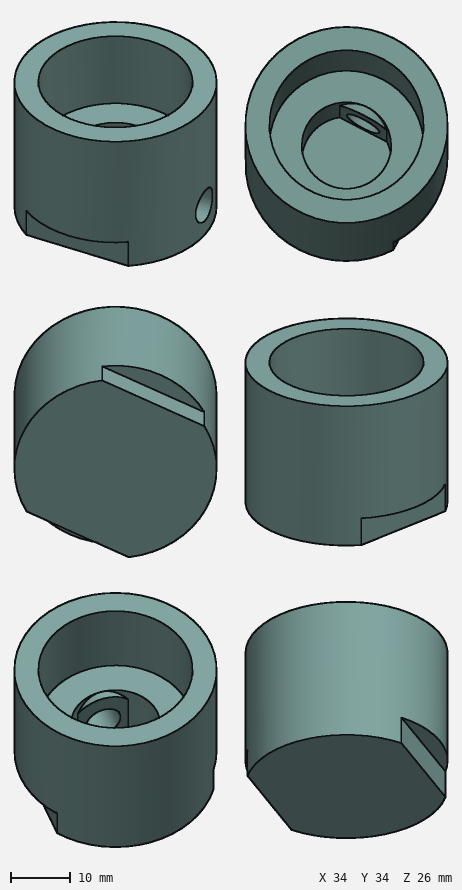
import cadquery as cq

outer_diameter = 34.0
height = 26.0
bottom_thickness = 2.0

bore_diameter = 25.9
bore_floor = 12.0
recess_diameter = 15.0

flat_spacing = 28.0
flat_height = 5.0

side_hole_diameter = 6.2
side_hole_height = 6.0
boss_diameter = 11.97
boss_face = 6.0


def upright_cylinder(diameter, bottom, top):
    """Cylinder on the Z axis between two heights."""
    return cq.Workplane("XY", origin=(0, 0, bottom)).circle(diameter / 2).extrude(top - bottom)


def side_cylinder(diameter, start, end):
    """Cylinder parallel to X, centred on the side hole."""
    plane = cq.Workplane("YZ", origin=(start, 0, side_hole_height))
    return plane.circle(diameter / 2).extrude(end - start)


def flat_cut(side):
    """Block that trims the base to a flat; side is -1 for -Y and +1 for +Y."""
    depth = (outer_diameter - flat_spacing) / 2
    centre = side * (flat_spacing + depth) / 2
    block = cq.Workplane("XY").box(outer_diameter, depth, flat_height, centered=(True, True, False))
    return block.translate((0, centre, 0))


outer_radius = outer_diameter / 2
cup = upright_cylinder(outer_diameter, 0, height)
cup = cup.cut(upright_cylinder(bore_diameter, bore_floor, height))
cup = cup.cut(upright_cylinder(recess_diameter, bottom_thickness, bore_floor))

boss_root = (recess_diameter + bore_diameter) / 4
cup = cup.union(side_cylinder(boss_diameter, boss_face, boss_root))
cup = cup.cut(side_cylinder(side_hole_diameter, boss_face, outer_radius))

for side in (-1, 1):
    cup = cup.cut(flat_cut(side))

result = cup